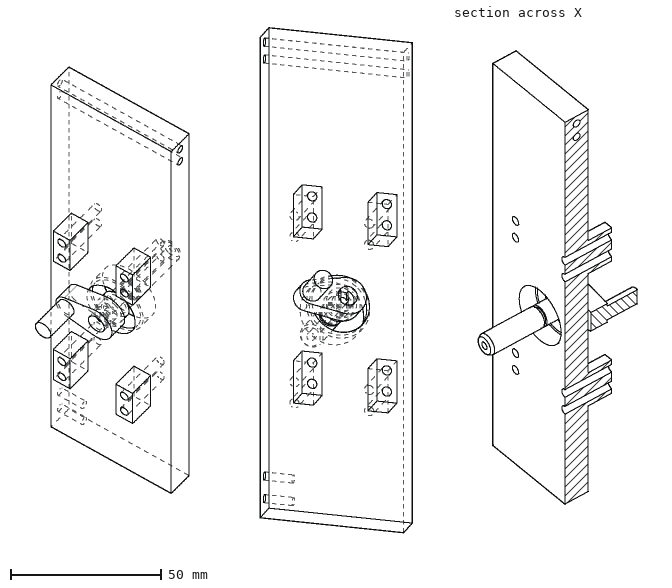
import cadquery as cq
import math


PLATE_WIDTH = 50.0
PLATE_THICKNESS = 10.0
PLATE_HEIGHT = 170.0

BLOCK_WIDTH = 7.0
BLOCK_DEPTH = PLATE_THICKNESS
BLOCK_HEIGHT = 15.0
BLOCK_SPACING_X = 26.0
BLOCK_SPACING_Z = 58.8
BLOCK_HOLE_DIAMETER = 3.2
BLOCK_HOLE_PITCH = BLOCK_HEIGHT / 2

EDGE_HOLE_DIAMETER = 2.7
TOP_EDGE_HOLE_INSETS = (3.4, 9.4)
BOTTOM_EDGE_HOLE_INSETS = (5.1, 13.1)
BOTTOM_EDGE_HOLE_DEPTH = 10.0

AXIS_Z = -10.0
OPENING_DIAMETER = 20.0
SEAT_DIAMETER = 22.1
SEAT_DEPTH = 7.0
LIP_THICKNESS = PLATE_THICKNESS - SEAT_DEPTH

ARM_BACK = -1.0
ARM_THICKNESS = 7.1
ARM_FRONT = ARM_BACK - ARM_THICKNESS
HUB_RADIUS = 6.5
TIP_RADIUS = 4.2
CRANK_THROW = 12.5
CRANK_BORE_DIAMETER = 6.6
PIN_DIAMETER = 6.5
PIN_LENGTH = 13.0

STUB_DIAMETER = CRANK_BORE_DIAMETER
STUB_LENGTH = 3.4
STUB_FRONT = ARM_BACK - STUB_LENGTH
SHOULDER_DIAMETER = 10.5
SHAFT_DIAMETER = 8.0
JOURNAL_PROUD = 0.3
JOURNAL_END = PLATE_THICKNESS + JOURNAL_PROUD
GROOVE_DIAMETER = 6.6
GROOVE_WIDTH = 1.0
GROOVE_END = JOURNAL_END + GROOVE_WIDTH
SHAFT_OVERHANG = 24.0
SHAFT_END = PLATE_THICKNESS + SHAFT_OVERHANG
CHAMFER_LENGTH = 1.2
CHAMFER_HEIGHT = (SHAFT_DIAMETER - GROOVE_DIAMETER) / 2
SHAFT_BORE_DIAMETER = 2.7
SLOT_WIDTH = 2.5
SLOT_DEPTH = 2.0


def cylinder_along_y(diameter, x, z, y_start, y_end):
    """Cylinder whose axis is parallel to Y, between two Y positions."""
    solid = cq.Solid.makeCylinder(
        diameter / 2, y_end - y_start, cq.Vector(x, y_start, z), cq.Vector(0, 1, 0)
    )
    return cq.Workplane(solid)


def edge_hole(z, depth):
    """Cylinder entering the plate from its -X edge, half way through the thickness."""
    start = cq.Vector(-PLATE_WIDTH / 2, PLATE_THICKNESS / 2, z)
    return cq.Workplane(cq.Solid.makeCylinder(EDGE_HOLE_DIAMETER / 2, depth, start, cq.Vector(1, 0, 0)))


def add_guide_block(plate, x, z):
    """Add one block to the plate and drill its two holes through block and plate."""
    block = cq.Workplane("XY").box(BLOCK_WIDTH, BLOCK_DEPTH, BLOCK_HEIGHT)
    plate = plate.union(block.translate((x, -BLOCK_DEPTH / 2, z)))
    for side in (-1, 1):
        hole_z = z + side * BLOCK_HOLE_PITCH / 2
        plate = plate.cut(cylinder_along_y(BLOCK_HOLE_DIAMETER, x, hole_z, -BLOCK_DEPTH, PLATE_THICKNESS))
    return plate


def make_plate():
    plate = cq.Workplane("XY").box(PLATE_WIDTH, PLATE_THICKNESS, PLATE_HEIGHT)
    plate = plate.translate((0, PLATE_THICKNESS / 2, 0))

    for side_x in (-1, 1):
        for side_z in (-1, 1):
            block_x = side_x * BLOCK_SPACING_X / 2
            block_z = AXIS_Z + side_z * BLOCK_SPACING_Z / 2
            plate = add_guide_block(plate, block_x, block_z)

    plate = plate.cut(cylinder_along_y(OPENING_DIAMETER, 0, AXIS_Z, 0, PLATE_THICKNESS))
    plate = plate.cut(cylinder_along_y(SEAT_DIAMETER, 0, AXIS_Z, LIP_THICKNESS, PLATE_THICKNESS))

    for inset in TOP_EDGE_HOLE_INSETS:
        plate = plate.cut(edge_hole(PLATE_HEIGHT / 2 - inset, PLATE_WIDTH))
    for inset in BOTTOM_EDGE_HOLE_INSETS:
        hole = edge_hole(inset - PLATE_HEIGHT / 2, BOTTOM_EDGE_HOLE_DEPTH)
        plate = plate.cut(hole)
    return plate


def make_crank():
    tangent_sine = (HUB_RADIUS - TIP_RADIUS) / CRANK_THROW
    tangent_cosine = math.sqrt(1 - tangent_sine**2)
    hub_x = -HUB_RADIUS * tangent_sine
    hub_z = HUB_RADIUS * tangent_cosine
    tip_x = -CRANK_THROW - TIP_RADIUS * tangent_sine
    tip_z = TIP_RADIUS * tangent_cosine

    crank = (
        cq.Workplane("XZ", origin=(0, ARM_BACK, AXIS_Z))
        .moveTo(hub_x, hub_z)
        .threePointArc((HUB_RADIUS, 0), (hub_x, -hub_z))
        .lineTo(tip_x, -tip_z)
        .threePointArc((-CRANK_THROW - TIP_RADIUS, 0), (tip_x, tip_z))
        .close()
        .extrude(ARM_THICKNESS)
    )
    crank = crank.union(
        cylinder_along_y(PIN_DIAMETER, -CRANK_THROW, AXIS_Z, ARM_FRONT - PIN_LENGTH, ARM_FRONT)
    )
    return crank.cut(cylinder_along_y(CRANK_BORE_DIAMETER, 0, AXIS_Z, ARM_FRONT, ARM_BACK))


def make_shaft():
    stub = cylinder_along_y(STUB_DIAMETER, 0, AXIS_Z, STUB_FRONT, ARM_BACK)
    shoulder = cylinder_along_y(SHOULDER_DIAMETER, 0, AXIS_Z, ARM_BACK, LIP_THICKNESS)
    journal = cylinder_along_y(SHAFT_DIAMETER, 0, AXIS_Z, LIP_THICKNESS, JOURNAL_END)
    groove_core = cylinder_along_y(GROOVE_DIAMETER, 0, AXIS_Z, JOURNAL_END, GROOVE_END)
    long_end = cylinder_along_y(SHAFT_DIAMETER, 0, AXIS_Z, GROOVE_END, SHAFT_END)
    long_end = long_end.faces(">Y").chamfer(CHAMFER_LENGTH, CHAMFER_HEIGHT)
    shaft = stub.union(shoulder).union(journal).union(groove_core).union(long_end)

    slot = cq.Workplane("XY").box(SLOT_WIDTH, SLOT_DEPTH, STUB_DIAMETER)
    shaft = shaft.cut(slot.translate((0, STUB_FRONT + SLOT_DEPTH / 2, AXIS_Z)))
    return shaft.cut(cylinder_along_y(SHAFT_BORE_DIAMETER, 0, AXIS_Z, STUB_FRONT, SHAFT_END))


plate = make_plate()
crank = make_crank()
shaft = make_shaft()

result = cq.Compound.makeCompound([plate.val(), crank.val(), shaft.val()])